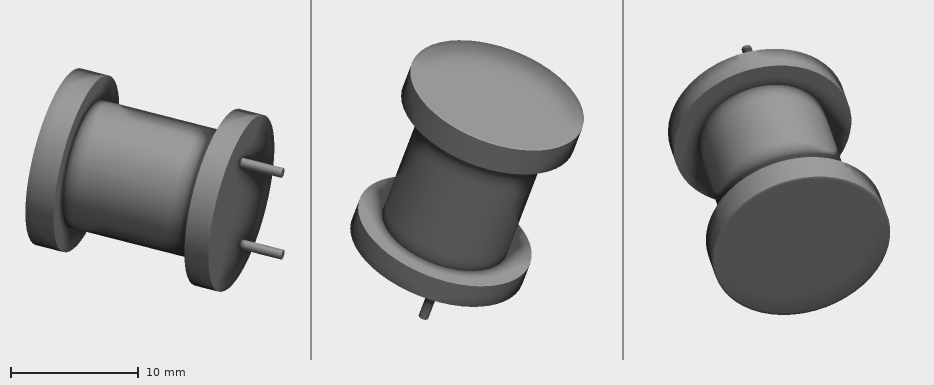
import cadquery as cq

total_length = 18.9
front_flange_thickness = 2.38
rear_flange_thickness = 2.02
pin_length = 3.48
core_length = total_length - front_flange_thickness - rear_flange_thickness - pin_length

flange_diameter = 14.3
core_diameter = 10.34
pin_diameter = 0.8
pin_spacing = 8.5

bevel_radial_width = 0.15
bevel_axial_depth = 0.026

core_start = front_flange_thickness
rear_flange_start = core_start + core_length
pin_start = rear_flange_start + rear_flange_thickness


def cylinder_along_x(start, length, diameter, height=0):
    """Solid cylinder parallel to X, with its axis at Z = height."""
    return cq.Workplane("YZ", origin=(start, 0, height)).circle(diameter / 2).extrude(length)


front_flange = cylinder_along_x(0, front_flange_thickness, flange_diameter)
front_flange = front_flange.faces("<X").chamfer(bevel_axial_depth, bevel_radial_width)
core = cylinder_along_x(core_start, core_length, core_diameter)
rear_flange = cylinder_along_x(rear_flange_start, rear_flange_thickness, flange_diameter)
result = front_flange.union(core).union(rear_flange)

for pin_height in (-pin_spacing / 2, pin_spacing / 2):
    result = result.union(cylinder_along_x(pin_start, pin_length, pin_diameter, pin_height))